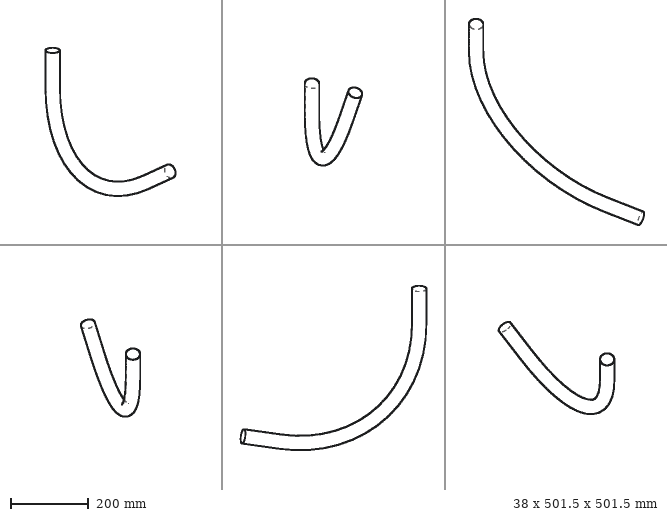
import cadquery as cq
import math

overall_size = 501.5
outer_diameter = 38.0
inner_diameter = 35.0
leg_length = 102.0
bend_radius = overall_size - leg_length - outer_diameter / 2

leg_end = bend_radius + leg_length
arc_mid_offset = bend_radius * (1 - math.cos(math.radians(45)))

centreline = (
    cq.Workplane("YZ")
    .moveTo(0, leg_end)
    .lineTo(0, bend_radius)
    .threePointArc((arc_mid_offset, arc_mid_offset), (bend_radius, 0))
    .lineTo(leg_end, 0)
)

result = (
    cq.Workplane("XY", origin=(0, 0, leg_end))
    .circle(outer_diameter / 2)
    .circle(inner_diameter / 2)
    .sweep(centreline)
)